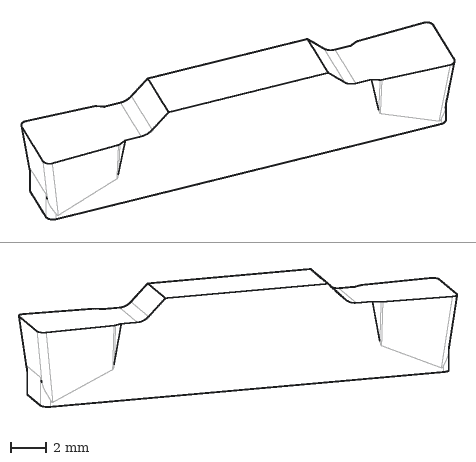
import cadquery as cq
import math

length = 24.92
total_height = 5.78
seat_height = 4.5
body_width = 3.25
body_length = 24.22
body_corner_radius = 0.45

raised_length = 9.67
ramp_foot_radius = 0.95

edge_width = 4.09
rear_width = 3.71
rear_start = 4.54
rear_end = 5.0
front_relief = math.tan(math.radians(7))
side_relief = math.tan(math.radians(5.2))
head_corner_radius = 0.4
rear_corner_radius = 0.25
side_taper = (edge_width - rear_width) / 2 / rear_start


def make_body():
    """Narrow bar with rounded ends and a raised middle."""
    end = body_length / 2
    raised_end = raised_length / 2
    ramp_foot = raised_end + total_height - seat_height
    bar = (
        cq.Workplane("YZ")
        .moveTo(-end, 0)
        .lineTo(end, 0)
        .lineTo(end, seat_height)
        .lineTo(ramp_foot, seat_height)
        .lineTo(raised_end, total_height)
        .lineTo(-raised_end, total_height)
        .lineTo(-ramp_foot, seat_height)
        .lineTo(-end, seat_height)
        .close()
        .extrude(body_width / 2, both=True)
    )
    foot_edges = bar.edges(cq.selectors.BoxSelector(
        (-body_width, -ramp_foot - 0.25, seat_height - 0.25),
        (body_width, ramp_foot + 0.25, seat_height + 0.25),
    )).edges("|X")
    bar = bar.newObject(foot_edges.vals()).fillet(ramp_foot_radius)
    return bar.edges("|Z").fillet(body_corner_radius)


def head_outline(depth):
    """Half outline on +X, mirrored to -X, at a depth below the head's flat top."""
    inset = side_relief * depth
    front = front_relief * depth
    right_side = [
        (edge_width / 2 - side_taper * front - inset, front - length / 2),
        (rear_width / 2 - inset, rear_start - length / 2),
        (body_width / 2 - inset, rear_end - length / 2),
    ]
    left_side = [(-x, y) for x, y in reversed(right_side)]
    return right_side + left_side


def make_head():
    """Cutting head at the -Y end, relieved towards its base on the front and sides."""
    head = (
        cq.Workplane("XY")
        .polyline(head_outline(seat_height)).close()
        .workplane(offset=seat_height)
        .polyline(head_outline(0)).close()
        .loft(ruled=True)
    )
    middle = head_outline(seat_height / 2)
    for corner, radius in ((0, head_corner_radius), (1, rear_corner_radius)):
        x, y = middle[corner]
        for side in (1, -1):
            midpoint = (side * x, y, seat_height / 2)
            corner_edge = head.edges(cq.selectors.NearestToPointSelector(midpoint))
            head = head.newObject(corner_edge.vals()).fillet(radius)
    return head


front_head = make_head()
back_head = front_head.mirror("XZ")
result = make_body().union(front_head).union(back_head)